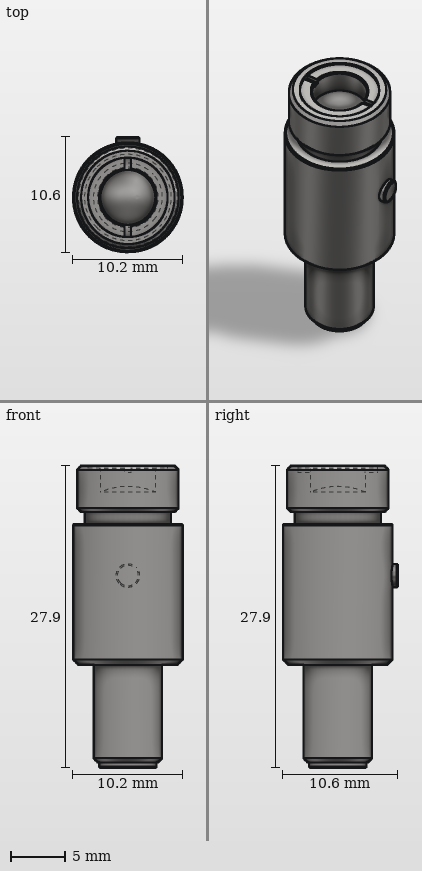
import cadquery as cq
import math

TOTAL_HEIGHT = 27.94
TIP_HEIGHT = 0.51
STEM_TOP = 9.53
BODY_TOP = 22.56
HEAD_HEIGHT = 4.29
HEAD_BOTTOM = TOTAL_HEIGHT - HEAD_HEIGHT

TIP_DIAMETER = 5.33
STEM_DIAMETER = 6.35
BODY_DIAMETER = 10.16
NECK_DIAMETER = 8.0
HEAD_DIAMETER = 9.4

FINE_CHAMFER = 0.13
STEM_CHAMFER = 0.38
BODY_CHAMFER = 0.51
HEAD_CHAMFER = 0.38

RING_DIAMETER = 7.35
RING_DEPTH = 0.2
RING_FACE = TOTAL_HEIGHT - RING_DEPTH

BORE_DIAMETER = 5.08
BORE_MOUTH_DIAMETER = 5.33
DOME_RADIUS = 6.35
DOME_APEX_DEPTH = 1.7
DOME_APEX = RING_FACE - DOME_APEX_DEPTH

SLOT_WIDTH = 0.58
SLOT_DEPTH = 0.43

PIN_DIAMETER = 2.18
PIN_END_Y = 10.64 - BODY_DIAMETER / 2
PIN_LENGTH = 2.0
PIN_HEIGHT = 17.78


def make_cylinder(diameter, bottom, top):
    """Solid cylinder on the Z axis between two heights."""
    return cq.Workplane("XY").workplane(offset=bottom).circle(diameter / 2).extrude(top - bottom)


def make_outside():
    """Tip, stem, body, neck and head stacked on the Z axis."""
    tip = make_cylinder(TIP_DIAMETER, 0, TIP_HEIGHT).faces("<Z").chamfer(FINE_CHAMFER)
    stem = make_cylinder(STEM_DIAMETER, TIP_HEIGHT, STEM_TOP).faces("<Z").chamfer(STEM_CHAMFER)
    body = make_cylinder(BODY_DIAMETER, STEM_TOP, BODY_TOP)
    body = body.faces("<Z").chamfer(BODY_CHAMFER).faces(">Z").chamfer(FINE_CHAMFER)
    neck = make_cylinder(NECK_DIAMETER, BODY_TOP, HEAD_BOTTOM)
    head = make_cylinder(HEAD_DIAMETER, HEAD_BOTTOM, TOTAL_HEIGHT).faces("<Z or >Z").chamfer(HEAD_CHAMFER)
    return tip.union(stem).union(body).union(neck).union(head)


def make_bore():
    """Cutter for the bore: chamfered mouth, straight wall and a domed floor."""
    bore_radius = BORE_DIAMETER / 2
    mouth_radius = BORE_MOUTH_DIAMETER / 2
    dome_drop = DOME_RADIUS - math.sqrt(DOME_RADIUS**2 - bore_radius**2)
    half_radius = bore_radius / 2
    half_drop = DOME_RADIUS - math.sqrt(DOME_RADIUS**2 - half_radius**2)
    profile = (
        cq.Workplane("XZ")
        .moveTo(0, RING_FACE)
        .lineTo(mouth_radius, RING_FACE)
        .lineTo(bore_radius, RING_FACE - (mouth_radius - bore_radius))
        .lineTo(bore_radius, DOME_APEX - dome_drop)
        .threePointArc((half_radius, DOME_APEX - half_drop), (0, DOME_APEX))
        .close()
    )
    return profile.revolve(360, (0, 0, 0), (0, 1, 0))


def make_slot():
    """Cutter for the slot, which runs along Y and stops at the ring's edge."""
    slot_bottom = RING_FACE - SLOT_DEPTH
    bar = (
        cq.Workplane("XY")
        .workplane(offset=slot_bottom)
        .rect(SLOT_WIDTH, RING_DIAMETER)
        .extrude(SLOT_DEPTH)
    )
    return bar.intersect(make_cylinder(RING_DIAMETER, slot_bottom, RING_FACE))


def make_pin():
    """Detent pin along +Y, rooted inside the body."""
    pin = (
        cq.Workplane("XZ", origin=(0, PIN_END_Y, PIN_HEIGHT))
        .circle(PIN_DIAMETER / 2)
        .extrude(PIN_LENGTH)
    )
    return pin.faces(">Y").chamfer(FINE_CHAMFER)


ring_recess = make_cylinder(RING_DIAMETER, RING_FACE, TOTAL_HEIGHT)
result = make_outside().cut(ring_recess).cut(make_bore()).cut(make_slot()).union(make_pin())